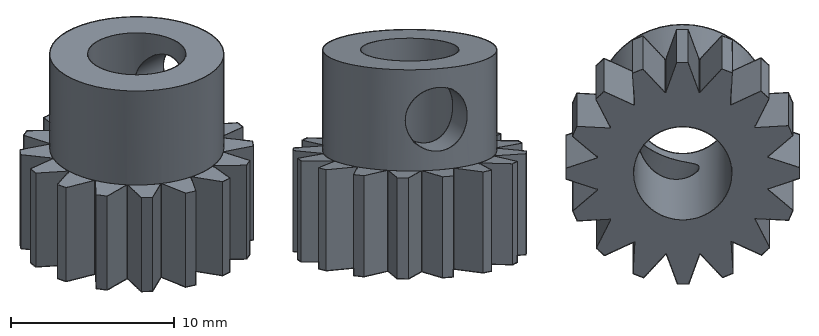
import cadquery as cq
import math

TOOTH_COUNT = 16
TIP_SPAN = 14.27
TIP_WIDTH = 0.7
ROOT_RADIUS = 5.28
HUB_DIAMETER = 10.64
BORE_DIAMETER = 6.0
TOTAL_HEIGHT = 12.7
GEAR_HEIGHT = TOTAL_HEIGHT / 2
SET_SCREW_DIAMETER = 4.0

HUB_HEIGHT = TOTAL_HEIGHT - GEAR_HEIGHT
SET_SCREW_Z = GEAR_HEIGHT + HUB_HEIGHT / 2
TOOTH_PITCH = 2 * math.pi / TOOTH_COUNT


def polar_point(radius, angle):
    return (radius * math.cos(angle), radius * math.sin(angle))


def gear_outline():
    """Straight-sided teeth with flat tips; the hub fills the bottom of each root."""
    tip_half_width = TIP_WIDTH / 2
    tip_half_span = TIP_SPAN / 2
    tip_radius = math.hypot(tip_half_span, tip_half_width)
    tip_half_angle = math.atan2(tip_half_width, tip_half_span)
    points = []
    for tooth in range(TOOTH_COUNT):
        tooth_angle = tooth * TOOTH_PITCH
        points.append(polar_point(tip_radius, tooth_angle - tip_half_angle))
        points.append(polar_point(tip_radius, tooth_angle + tip_half_angle))
        points.append(polar_point(ROOT_RADIUS, tooth_angle + TOOTH_PITCH / 2))
    return points


def make_gear():
    return cq.Workplane("XY").polyline(gear_outline()).close().extrude(GEAR_HEIGHT)


def make_hub():
    return cq.Workplane("XY").circle(HUB_DIAMETER / 2).extrude(TOTAL_HEIGHT)


def make_bore():
    return cq.Workplane("XY").circle(BORE_DIAMETER / 2).extrude(TOTAL_HEIGHT)


def make_set_screw_hole():
    """Radial hole through the +Y wall of the hub only, from the axis outward."""
    return (
        cq.Workplane("XZ", origin=(0, 0, SET_SCREW_Z))
        .circle(SET_SCREW_DIAMETER / 2)
        .extrude(-HUB_DIAMETER)
    )


result = make_gear().union(make_hub()).cut(make_bore()).cut(make_set_screw_hole())